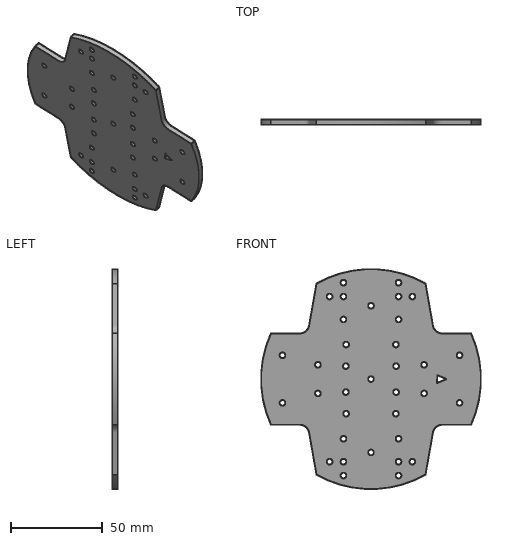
import cadquery as cq
import math

outer_radius = 60
thickness = 3.0
side_arm_half_height = 25.0
end_arm_half_width = 29.8
end_arm_taper = 10
corner_radius = 5.0
hole_diameter = 3.0

quadrant_holes = [
    (15.0, 52.5),
    (15.0, 45.0),
    (22.5, 45.0),
    (15.0, 32.5),
    (13.5, 18.8),
    (13.7, 7.1),
    (28.9, 7.8),
    (48.2, 13.0),
]
axis_hole_height = 40.0

arrow_corners = [(36.2, 2.0), (41.0, 0), (36.0, -2.0)]

end_arm_corner_z = math.sqrt(outer_radius**2 - end_arm_half_width**2)
side_arm_corner_x = math.sqrt(outer_radius**2 - side_arm_half_height**2)
taper_run = (end_arm_corner_z - side_arm_half_height) * math.tan(math.radians(end_arm_taper))
inner_corner_x = end_arm_half_width + taper_run


def plate_plane():
    """XZ workplane with the plate thickness centred on Y = 0."""
    return cq.Workplane("XZ", origin=(0, thickness / 2, 0))


def make_plate():
    outline = (
        plate_plane()
        .moveTo(-end_arm_half_width, end_arm_corner_z)
        .threePointArc((0, outer_radius), (end_arm_half_width, end_arm_corner_z))
        .lineTo(inner_corner_x, side_arm_half_height)
        .lineTo(side_arm_corner_x, side_arm_half_height)
        .threePointArc((outer_radius, 0), (side_arm_corner_x, -side_arm_half_height))
        .lineTo(inner_corner_x, -side_arm_half_height)
        .lineTo(end_arm_half_width, -end_arm_corner_z)
        .threePointArc((0, -outer_radius), (-end_arm_half_width, -end_arm_corner_z))
        .lineTo(-inner_corner_x, -side_arm_half_height)
        .lineTo(-side_arm_corner_x, -side_arm_half_height)
        .threePointArc((-outer_radius, 0), (-side_arm_corner_x, side_arm_half_height))
        .lineTo(-inner_corner_x, side_arm_half_height)
        .close()
    )
    return outline.extrude(thickness)


def round_inner_corners(plate):
    reach_x = (inner_corner_x + side_arm_corner_x) / 2
    reach_z = (side_arm_half_height + end_arm_corner_z) / 2
    corner_box = cq.selectors.BoxSelector(
        (-reach_x, -thickness, -reach_z), (reach_x, thickness, reach_z)
    )
    return plate.edges("|Y").edges(corner_box).fillet(corner_radius)


def make_holes():
    centers = [(0, 0), (0, axis_hole_height), (0, -axis_hole_height)]
    for x, z in quadrant_holes:
        centers += [(x, z), (-x, z), (x, -z), (-x, -z)]
    return plate_plane().pushPoints(centers).circle(hole_diameter / 2).extrude(thickness)


def make_arrow():
    return plate_plane().polyline(arrow_corners).close().extrude(thickness)


result = round_inner_corners(make_plate()).cut(make_holes()).cut(make_arrow())